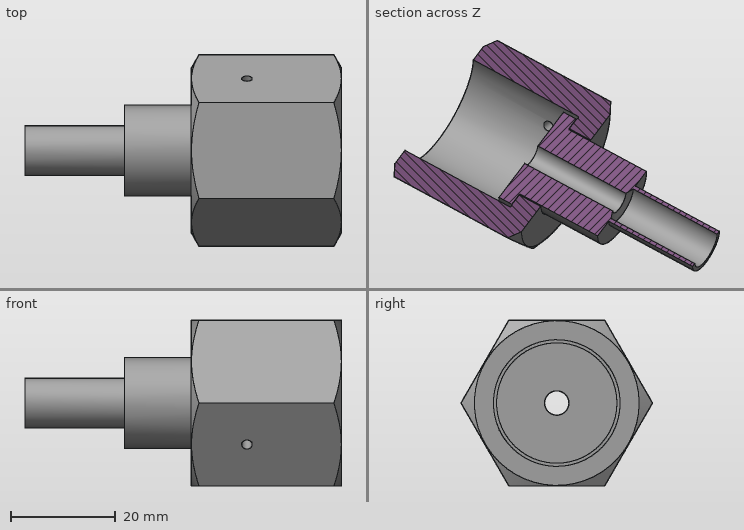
import cadquery as cq
import math

TOTAL_LENGTH = 60.6
NUT_LENGTH = 28.8
TUBE_LENGTH = 19.05
NUT_START = TOTAL_LENGTH - NUT_LENGTH

TUBE_DIAMETER = 9.6
TUBE_BORE_DIAMETER = 7.8
HUB_DIAMETER = 17.45
FLANGE_DIAMETER = 23.05
FLANGE_THICKNESS = 3.05
THROUGH_BORE_DIAMETER = 4.6
BORE_TAPER_ANGLE = 68.0

ACROSS_FLATS = 31.8
ACROSS_CORNERS = ACROSS_FLATS / math.cos(math.radians(30))
CHAMFER_CIRCLE_DIAMETER = 31.5
CHAMFER_ANGLE = 30.0
HUB_CLEARANCE = 0.1
SHOULDER_THICKNESS = 4.85
THREAD_BORE_DIAMETER = 24.25

VENT_DIAMETER = 2.0
VENT_X = 42.5
VENT_TILT = 60.0

SHOULDER_END = NUT_START + SHOULDER_THICKNESS


def revolve_about_x(points):
    """Revolve a closed (x, radius) outline about the X axis."""
    return cq.Workplane("XY").polyline(points).close().revolve(360, (0, 0, 0), (1, 0, 0))


def make_nipple():
    """Tube, hub and flange in one piece; the flange seats on the inner shoulder of the nut."""
    tube_radius = TUBE_DIAMETER / 2
    tube_bore_radius = TUBE_BORE_DIAMETER / 2
    hub_radius = HUB_DIAMETER / 2
    flange_radius = FLANGE_DIAMETER / 2
    flange_end = SHOULDER_END + FLANGE_THICKNESS
    through_radius = THROUGH_BORE_DIAMETER / 2
    taper_length = (tube_bore_radius - through_radius) / math.tan(math.radians(BORE_TAPER_ANGLE))
    return revolve_about_x([
        (0, tube_bore_radius),
        (0, tube_radius),
        (TUBE_LENGTH, tube_radius),
        (TUBE_LENGTH, hub_radius),
        (SHOULDER_END, hub_radius),
        (SHOULDER_END, flange_radius),
        (flange_end, flange_radius),
        (flange_end, through_radius),
        (TUBE_LENGTH + taper_length, through_radius),
        (TUBE_LENGTH, tube_bore_radius),
    ])


def make_chamfer_envelope():
    """Round body with conical ends that trims the corners of the hexagon."""
    end_radius = CHAMFER_CIRCLE_DIAMETER / 2
    corner_radius = ACROSS_CORNERS / 2
    chamfer_length = (corner_radius - end_radius) * math.tan(math.radians(CHAMFER_ANGLE))
    return revolve_about_x([
        (NUT_START, 0),
        (NUT_START, end_radius),
        (NUT_START + chamfer_length, corner_radius),
        (TOTAL_LENGTH - chamfer_length, corner_radius),
        (TOTAL_LENGTH, end_radius),
        (TOTAL_LENGTH, 0),
    ])


def make_nut_bores():
    """Clearance bore for the hub, opening into the wider thread bore."""
    clearance_radius = HUB_DIAMETER / 2 + HUB_CLEARANCE
    thread_radius = THREAD_BORE_DIAMETER / 2
    return revolve_about_x([
        (NUT_START, 0),
        (NUT_START, clearance_radius),
        (SHOULDER_END, clearance_radius),
        (SHOULDER_END, thread_radius),
        (TOTAL_LENGTH, thread_radius),
        (TOTAL_LENGTH, 0),
    ])


def make_vent_drill():
    """One cylinder across the nut that opens both vent holes."""
    return (
        cq.Workplane("XY")
        .circle(VENT_DIAMETER / 2)
        .extrude(ACROSS_CORNERS / 2, both=True)
        .rotate((0, 0, 0), (1, 0, 0), -VENT_TILT)
        .translate((VENT_X, 0, 0))
    )


def make_nut():
    """Chamfered hexagon with corners pointing along Y."""
    hexagon = (
        cq.Workplane("YZ", origin=(NUT_START, 0, 0))
        .polygon(6, ACROSS_CORNERS)
        .extrude(NUT_LENGTH)
    )
    return hexagon.intersect(make_chamfer_envelope()).cut(make_nut_bores()).cut(make_vent_drill())


nipple = make_nipple()
nut = make_nut()

result = cq.Compound.makeCompound([nipple.val(), *nut.vals()])